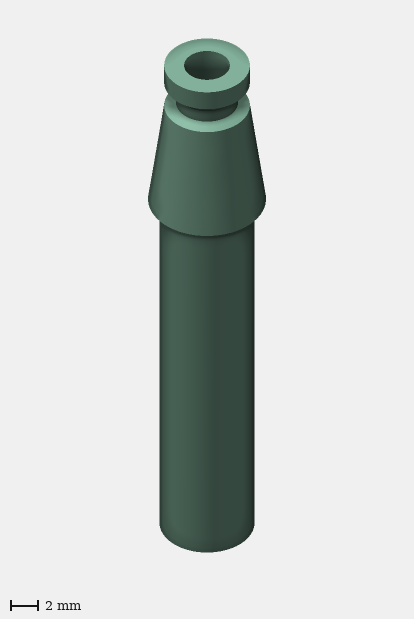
import cadquery as cq

bore_diameter = 3.35
neck_diameter = 4.55
head_diameter = 6.25
shaft_diameter = 6.95
cone_top_diameter = 6.25
cone_base_diameter = 8.6

total_length = 42.8
head_height = 1.6
head_taper_height = (head_diameter - neck_diameter) / 2
neck_height = 1.0
shoulder_height = 0.3
cone_height = 8.77

top_z = total_length / 2
bottom_z = -total_length / 2
head_bottom_z = top_z - head_height
neck_top_z = head_bottom_z - head_taper_height
neck_bottom_z = neck_top_z - neck_height
cone_top_z = neck_bottom_z - shoulder_height
cone_base_z = cone_top_z - cone_height

half_section = [
    (bore_diameter / 2, bottom_z),
    (shaft_diameter / 2, bottom_z),
    (shaft_diameter / 2, cone_base_z),
    (cone_base_diameter / 2, cone_base_z),
    (cone_top_diameter / 2, cone_top_z),
    (neck_diameter / 2, neck_bottom_z),
    (neck_diameter / 2, neck_top_z),
    (head_diameter / 2, head_bottom_z),
    (head_diameter / 2, top_z),
    (bore_diameter / 2, top_z),
]

result = cq.Workplane("XZ").polyline(half_section).close().revolve(360, (0, 0), (0, 1))